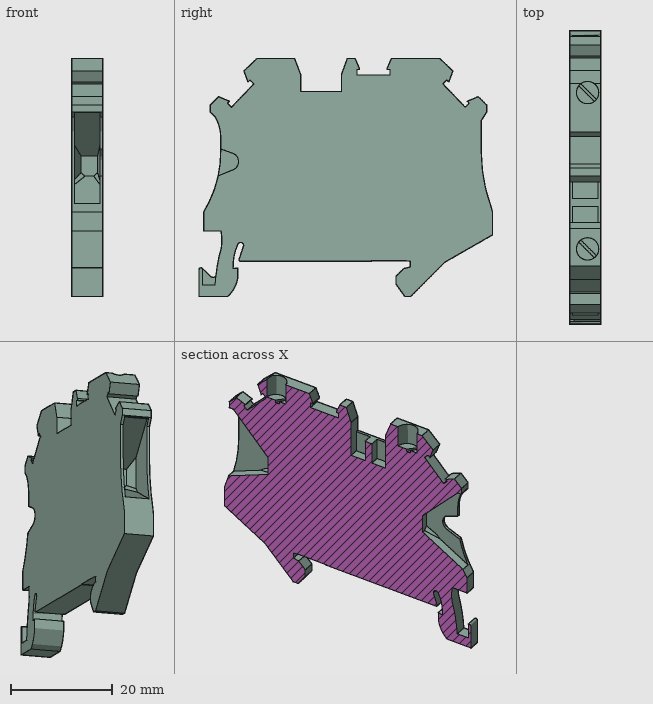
import cadquery as cq

thickness = 6.1
length = 57.8
height = 46.9
skin = 0.6
symmetry_y = 29.4
cavity_width = thickness - 2 * skin

flank_bottom_z = 16.65
front_end_y = 0.9
front_waist_y = 4.3
rear_waist_y = 55.6
ear_arc_radius = 8.0
front_flank_radius = 22.4
rear_flank_radius = 30.65
ledge_z = 12.9
ear_y = 2.2
ear_bottom_z = 36.3
rail_z = 6.95
rail_relief_z = 7.05

jumper_front_y = 20.05
jumper_rear_y = 28.05
jumper_floor_z = 40.4
jumper_lead_z = 43.7

bridge_front_y = 23.2
bridge_rear_y = 24.8
jumper_pocket_depth = 4.6

screw_x = 3.5
screw_ys = (14.85, 45.6)
screw_radius = 2.2
screw_well_depth = 4.6
screw_slot_width = 0.6
screw_slot_depth = 0.6
screw_slot_angle = -45

hook_valley_y = 3.35
hook_valley_z = 4.2
hook_tip_y = 0.7
hook_tip_z = 5.65
release_floor_y = 3.2
release_floor_z = 2.3
release_wall = 0.8

throat_y = 11.25
throat_left_x = 1.85
throat_right_x = 5.1
throat_top_z = 27.6
throat_bottom_z = 23.7
taper_start_y = 9.25
mouth_top_z = 36.2
roof_lip_y = 3.1
mouth_lip_y = 1.7
front_mouth_bottom_z = 18.2
rear_mouth_bottom_z = 19.65
corner_start_y = 8.45
corner_width = 0.75
corner_rise = 0.7

window_top_z = 29.1
window_bottom_z = 23.7


def mirrored(points):
    """Mirror outline points to the other shoulder, reversing their order."""
    return [(2 * symmetry_y - y, z) for y, z in reversed(points)]


shoulder = [
    (11.45, height),
    (8.85, 44.4),
    (9.65, 42.2),
    (10.05, 42.6),
    (10.8, 41.85),
    (6.4, 37.3),
    (5.65, 38.05),
    (6.05, 38.45),
    (3.9, 39.35),
    (ear_y, 37.7),
    (ear_y, ear_bottom_z),
]

top_notches = [
    (37.85, height),
    (37.0, 44.85),
    (37.0, 44.7),
    (37.55, 44.7),
    (37.55, 43.65),
    (31.15, 43.65),
    (31.15, 44.7),
    (31.55, 44.7),
    (31.55, 45.0),
    (30.75, height),
    (29.2, height),
    (jumper_rear_y, jumper_lead_z),
    (jumper_rear_y, jumper_floor_z),
    (jumper_front_y, jumper_floor_z),
    (jumper_front_y, jumper_lead_z),
    (18.85, height),
]

rail_foot = [
    (33.9, rail_z),
    (33.9, rail_relief_z),
    (40.35, rail_relief_z),
    (41.55, rail_z),
    (41.55, 5.85),
    (40.35, 5.55),
    (38.8, 4.05),
    (38.8, 2.4),
    (40.5, 0),
    (41.7, 0),
    (48.3, 6.7),
    (length, 12.15),
    (length, flank_bottom_z),
    (57.55, 17.5),
]


def polyline(sketch, points):
    for point in points:
        sketch = sketch.lineTo(*point)
    return sketch


def make_body():
    outline = cq.Workplane("YZ").moveTo(*top_notches[0])
    outline = polyline(outline, top_notches[1:] + shoulder)

    outline = (
        outline.lineTo(3.2, 35.4)
        .radiusArc((front_waist_y, 31.3), ear_arc_radius)
        .lineTo(front_waist_y, 28.95)
        .radiusArc((front_end_y, flank_bottom_z), front_flank_radius)
        .lineTo(front_end_y, ledge_z)
        .lineTo(4.35, ledge_z)
    )

    outline = (
        outline.threePointArc((4.5, 11.3), (4.4, 9.6))
        .threePointArc((3.75, 6.95), (hook_valley_y, hook_valley_z))
        .threePointArc((2.9, 3.8), (2.3, 4.0))
        .lineTo(0.6, hook_tip_z)
        .threePointArc((0.2, 5.6), (0, 5.25))
        .lineTo(0, 0)
        .lineTo(5.65, 0)
        .threePointArc((7.0, 1.7), (7.7, 3.75))
        .lineTo(7.7, 5.65)
        .lineTo(6.75, 5.55)
    )

    outline = (
        outline.threePointArc((6.95, 7.9), (7.7, 10.3))
        .threePointArc((8.3, 10.65), (8.8, 10.05))
        .lineTo(7.85, 7.2)
        .lineTo(8.1, rail_z)
    )

    outline = polyline(outline, rail_foot)
    outline = outline.radiusArc((rear_waist_y, 28.15), rear_flank_radius).lineTo(rear_waist_y, 34.7)
    outline = polyline(outline, mirrored(shoulder))
    return outline.close().extrude(thickness)


def corner_wedge(mouth_bottom_z, wall_x, throat_x, inward):
    """Tetrahedron filling a lower corner of the throat; inward is +1 or -1 along X."""
    floor_slope = (throat_bottom_z - mouth_bottom_z) / (throat_y - mouth_lip_y)
    start_z = throat_bottom_z - floor_slope * (throat_y - corner_start_y)
    across_x = throat_x + inward * corner_width
    wall_rise = corner_rise / corner_width * abs(across_x - wall_x)
    start = cq.Vector(wall_x, corner_start_y, start_z)
    corner = cq.Vector(wall_x, throat_y, throat_bottom_z)
    up = cq.Vector(wall_x, throat_y, throat_bottom_z + wall_rise)
    across = cq.Vector(across_x, throat_y, throat_bottom_z)
    triangles = [
        (start, corner, up),
        (start, across, corner),
        (start, up, across),
        (corner, across, up),
    ]
    faces = [cq.Face.makeFromWires(cq.Wire.makePolygon([*points, points[0]])) for points in triangles]
    return cq.Workplane(cq.Solid.makeSolid(cq.Shell.makeShell(faces)))


def make_funnel(mouth_bottom_z):
    """Front wire funnel: sloping roof and floor, side walls closing in to the throat."""
    side_profile = (
        cq.Workplane("YZ")
        .polyline([
            (0, mouth_top_z),
            (roof_lip_y, mouth_top_z),
            (throat_y, throat_top_z),
            (throat_y, throat_bottom_z),
            (mouth_lip_y, mouth_bottom_z),
            (0, mouth_bottom_z),
        ])
        .close()
        .extrude(thickness)
    )
    plan_profile = (
        cq.Workplane("XY")
        .polyline([
            (skin, 0),
            (thickness - skin, 0),
            (thickness - skin, taper_start_y),
            (throat_right_x, throat_y),
            (throat_left_x, throat_y),
            (skin, taper_start_y),
        ])
        .close()
        .extrude(height)
    )
    funnel = side_profile.intersect(plan_profile)
    funnel = funnel.cut(corner_wedge(mouth_bottom_z, skin, throat_left_x, 1))
    return funnel.cut(corner_wedge(mouth_bottom_z, thickness - skin, throat_right_x, -1))


def make_side_window():
    """Round-ended opening through the +X wall of the front funnel."""
    return (
        cq.Workplane("YZ", origin=(thickness - skin, 0, 0))
        .moveTo(0, window_top_z)
        .lineTo(front_waist_y, window_top_z)
        .lineTo(6.95, 28.1)
        .threePointArc((7.7, 25.95), (6.65, 24.9))
        .lineTo(3.65, window_bottom_z)
        .lineTo(0, window_bottom_z)
        .close()
        .extrude(skin)
    )


def make_screw_well(y):
    """Round well with a slotted screw head at the bottom."""
    well_floor_z = height - screw_well_depth
    well = (
        cq.Workplane("XY", origin=(screw_x, y, well_floor_z))
        .circle(screw_radius)
        .extrude(screw_well_depth)
    )
    slot_floor = cq.Workplane("XY", origin=(screw_x, y, well_floor_z - screw_slot_depth))
    head = slot_floor.circle(screw_radius).extrude(screw_slot_depth)
    slot = (
        slot_floor.transformed(rotate=(0, 0, screw_slot_angle))
        .rect(2 * screw_radius, screw_slot_width)
        .extrude(screw_slot_depth)
    )
    return well.union(slot.intersect(head))


def make_jumper_pocket(front_y, rear_y):
    pocket = cq.Workplane("XY").box(
        cavity_width, rear_y - front_y, jumper_pocket_depth, centered=False
    )
    return pocket.translate((skin, front_y, jumper_floor_z - jumper_pocket_depth))


def make_release_pocket():
    """Pocket deepening the valley behind the hook tip, open towards +X."""
    return (
        cq.Workplane("YZ", origin=(release_wall, 0, 0))
        .polyline([
            (hook_tip_y, hook_tip_z),
            (hook_tip_y, release_floor_z),
            (release_floor_y, release_floor_z),
            (hook_valley_y, hook_valley_z),
            (hook_valley_y, hook_tip_z),
        ])
        .close()
        .extrude(thickness - release_wall)
    )


result = make_body()
result = result.cut(make_release_pocket())

result = result.cut(make_funnel(front_mouth_bottom_z))
rear_funnel = make_funnel(rear_mouth_bottom_z).mirror("XZ", (0, symmetry_y, 0))
result = result.cut(rear_funnel)
result = result.cut(make_side_window())

for screw_y in screw_ys:
    result = result.cut(make_screw_well(screw_y))

result = result.cut(make_jumper_pocket(jumper_front_y, bridge_front_y))
result = result.cut(make_jumper_pocket(bridge_rear_y, jumper_rear_y))